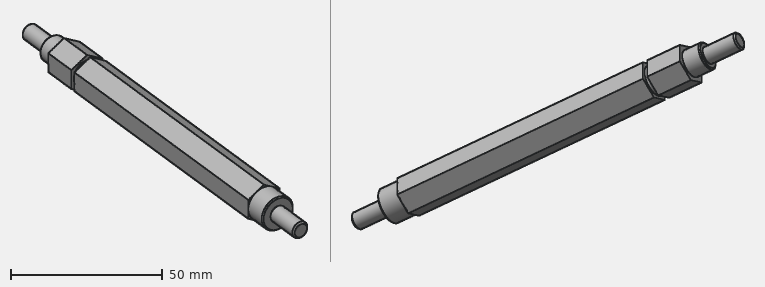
import cadquery as cq
import math

total_length = 155.0
left_stud_length = 12.9
spigot_length = 7.0
short_hex_length = 13.2
neck_length = 1.7
right_stud_length = 13.0
collar_length = 8.0

hex_across_flats = 12.7
hex_across_corners = hex_across_flats / math.cos(math.pi / 6)
spigot_diameter = 9.9
neck_diameter = 10.9
collar_diameter = hex_across_flats
stud_diameter = 6.2

spigot_chamfer = 0.5
collar_chamfer = 0.5
left_stud_chamfer = 0.55
right_stud_chamfer = 0.6

left_end = -total_length / 2
spigot_start = left_end + left_stud_length
short_hex_start = spigot_start + spigot_length
neck_start = short_hex_start + short_hex_length
long_hex_start = neck_start + neck_length
collar_end = total_length / 2 - right_stud_length
collar_start = collar_end - collar_length


def section_plane(x):
    """YZ plane at a station on the axis, with its normal along +X."""
    return cq.Workplane("YZ", origin=(x, 0, 0))


def cylinder(start, end, diameter):
    return section_plane(start).circle(diameter / 2).extrude(end - start)


def hex_bar(start, end):
    """Hexagonal bar with two corners on the vertical centre plane."""
    corners = [
        (
            hex_across_corners / 2 * math.sin(math.radians(angle)),
            hex_across_corners / 2 * math.cos(math.radians(angle)),
        )
        for angle in range(0, 360, 60)
    ]
    return section_plane(start).polyline(corners).close().extrude(end - start)


def make_spacer():
    """Hexagonal spacer with a grooved neck, a left spigot and a right collar."""
    spigot = cylinder(spigot_start, short_hex_start, spigot_diameter)
    spigot = spigot.faces("<X").chamfer(spigot_chamfer)
    short_hex = hex_bar(short_hex_start, neck_start)
    neck = cylinder(neck_start, long_hex_start, neck_diameter)
    long_hex = hex_bar(long_hex_start, collar_start)
    collar = cylinder(collar_start, collar_end, collar_diameter)
    collar = collar.faces(">X").chamfer(collar_chamfer)
    return spigot.union(short_hex).union(neck).union(long_hex).union(collar)


def make_stud(start, end, outer_face, chamfer):
    """Round stud seated on an end face of the spacer, chamfered at its free end."""
    return cylinder(start, end, stud_diameter).faces(outer_face).chamfer(chamfer)


spacer = make_spacer()
left_stud = make_stud(left_end, spigot_start, "<X", left_stud_chamfer)
right_stud = make_stud(collar_end, total_length / 2, ">X", right_stud_chamfer)

result = cq.Compound.makeCompound([spacer.val(), left_stud.val(), right_stud.val()])